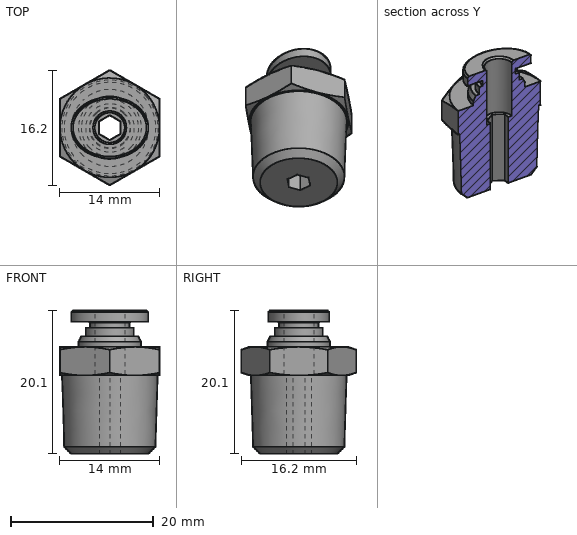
import cadquery as cq
import math

thread_start_z = 1.0
nut_bottom_z = 11.0
nut_top_z = 15.0
collar_edge_z = 15.7
collar_top_z = 16.5
sleeve_top_z = 17.7
button_bottom_z = 18.5
total_height = 20.1

thread_top_radius = 6.73
thread_taper = 1 / 32
thread_end_radius = thread_top_radius - thread_taper * (nut_bottom_z - thread_start_z)
lead_in_radius = thread_end_radius - thread_start_z

nut_across_corners = 16.16
nut_corner_radius = nut_across_corners / 2
nut_across_flats = nut_corner_radius * math.sqrt(3)
nut_face_radius = 6.97
nut_chamfer_angle = 20.0

collar_radius = 4.4
collar_top_radius = 4.0
sleeve_radius = 3.4
neck_radius = 2.8
neck_flare = 0.1

button_half_length = 5.4
button_half_width = 4.3
button_chamfer = 0.26

bore_radius = 2.1
bore_chamfer = 0.26
bore_floor_z = nut_bottom_z
key_across_flats = 3.0


def hexagon_prism(across_flats, bottom_z, top_z):
    """Upright hexagonal prism with corners on the Y axis and flats facing X."""
    prism = cq.Workplane("XY").polygon(6, 2 * across_flats / math.sqrt(3)).extrude(top_z - bottom_z)
    return prism.rotate((0, 0, 0), (0, 0, 1), 90).translate((0, 0, bottom_z))


def revolve_profile(points):
    """Solid of revolution about Z from (radius, height) points starting and ending on the axis."""
    return cq.Workplane("XZ").polyline(points).close().revolve(360, (0, 0), (0, 1))


def make_turned_body():
    """Thread, collar, sleeve and neck as one turned shape running through the nut."""
    return revolve_profile([
        (0, 0),
        (lead_in_radius, 0),
        (thread_end_radius, thread_start_z),
        (thread_top_radius, nut_bottom_z),
        (collar_radius, nut_bottom_z),
        (collar_radius, collar_edge_z),
        (collar_top_radius, collar_top_z),
        (sleeve_radius, collar_top_z),
        (sleeve_radius, sleeve_top_z),
        (neck_radius, sleeve_top_z),
        (neck_radius, button_bottom_z - neck_flare),
        (neck_radius + neck_flare, button_bottom_z),
        (0, button_bottom_z),
    ])


def make_nut():
    """Hexagon whose corners are turned to a cone on both faces."""
    corner_drop = (nut_corner_radius - nut_face_radius) * math.tan(math.radians(nut_chamfer_angle))
    envelope = revolve_profile([
        (0, nut_bottom_z),
        (nut_face_radius, nut_bottom_z),
        (nut_corner_radius, nut_bottom_z + corner_drop),
        (nut_corner_radius, nut_top_z - corner_drop),
        (nut_face_radius, nut_top_z),
        (0, nut_top_z),
    ])
    return hexagon_prism(nut_across_flats, nut_bottom_z, nut_top_z).intersect(envelope)


def make_button():
    """Elliptical plate with a chamfered top rim."""
    plate = cq.Workplane("XY").workplane(offset=button_bottom_z)
    plate = plate.ellipse(button_half_length, button_half_width).extrude(total_height - button_bottom_z)
    return plate.faces(">Z").edges().chamfer(button_chamfer)


def make_bore():
    """Blind tube bore with a countersunk mouth."""
    return revolve_profile([
        (0, bore_floor_z),
        (bore_radius, bore_floor_z),
        (bore_radius, total_height - bore_chamfer),
        (bore_radius + bore_chamfer, total_height),
        (0, total_height),
    ])


key_hole = hexagon_prism(key_across_flats, 0, bore_floor_z)

result = make_turned_body().union(make_nut()).union(make_button())
result = result.cut(make_bore()).cut(key_hole)